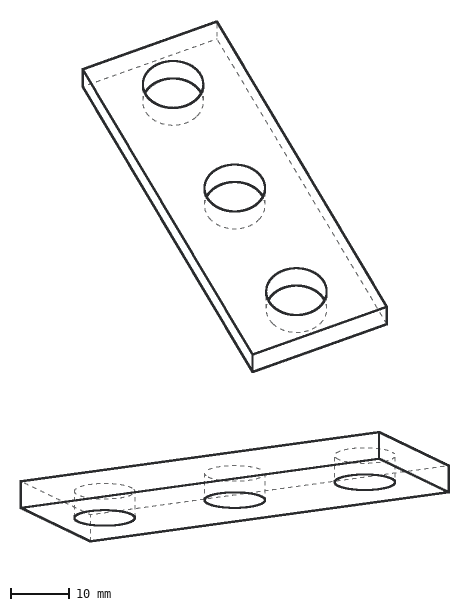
import cadquery as cq

length = 69.85
width = 25.4
thickness = 4.75

hole_diameter = 10.4
hole_pitch = 25.35
hole_count = 3

plate = cq.Workplane("XY").box(length, width, thickness)

result = (
    plate.faces(">Z")
    .workplane()
    .rarray(hole_pitch, 0.7, hole_count, 1)
    .hole(hole_diameter)
)